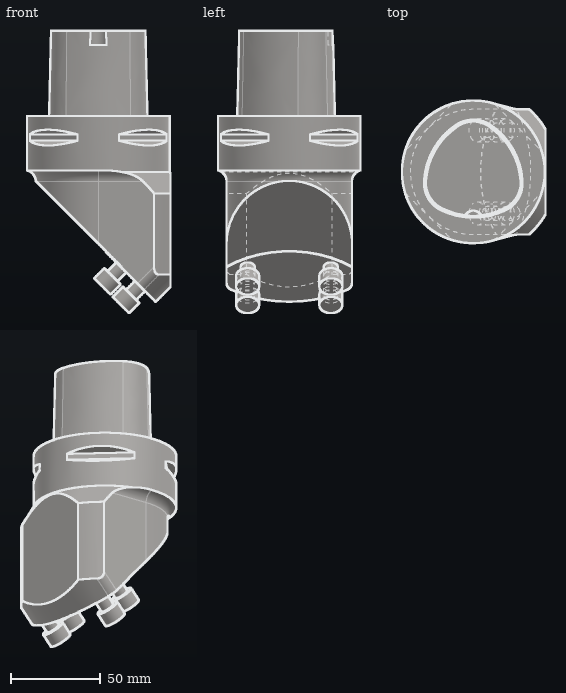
import cadquery as cq
import math

overall_height = 158.2


shank_taper = 1.1
side_radius = 41.0
side_reach = 25.6
lobe_reach = 29.3
notch_radius = 5.0
notch_center_y = -26.7
notch_depth = 8.2

flange_radius = 40.0
flange_height = 30.5
groove_floor_distance = 35.3
groove_floor_width = 3.5
groove_mouth_width = 8.9
groove_center_z = -12.2

body_half_width = 35.1
body_flat_x = 40.5
body_turned_radius = 47.0
body_bottom_z = -126.5
neck_top_radius = 39.9
neck_height = 6.2
neck_arc_radius = 6.3
cone_top_z = -31.3
cone_bottom_z = -43.3

slant_intercept = -71.5
end_distance = 96.3
end_arc_radius = 60.1
end_corner_radius = 6.0
shoulder_clearance = 15.8
envelope_depth = 158.2
seat_length = 39.9
seat_arc_radius = 56.0
seat_height = 0.3

screw_half_spacing = 23.3
screw_distances = (69.1, 83.8)
screw_shank_diameter = 8.0
screw_head_diameter = 13.0
screw_head_height = 8.0
screw_reach = 15.3
screw_embed = 4.7

lowest_z = slant_intercept / 2 - (max(screw_distances) + screw_reach + screw_head_diameter / 2) / math.sqrt(2)
shank_height = overall_height + lowest_z

slant_offset = slant_intercept / 2
slant_plane = cq.Plane(origin=(slant_offset, 0, slant_offset), xDir=(1, 0, -1), normal=(1, 0, 1))


def polar(radius, degrees):
    angle = math.radians(degrees)
    return (radius * math.cos(angle), radius * math.sin(angle))


def shank_outline(sketch, inset):
    """Rounded triangle of three side arcs tangent to three lobe arcs, with one lobe on +Y."""
    side_center = side_radius - side_reach
    reach_gap = side_radius - lobe_reach
    lobe_center = (side_center**2 - reach_gap**2) / (2 * reach_gap - side_center)
    center_x, center_y = polar(lobe_center, -30)
    side_half_angle = math.atan2(center_x, side_center - center_y)

    radius = side_radius - inset
    joint_x = radius * math.sin(side_half_angle)
    joint_y = side_center - radius * math.cos(side_half_angle)
    joint_radius = math.hypot(joint_x, joint_y)
    joint_angle = math.degrees(math.atan2(joint_y, joint_x))

    sketch = sketch.moveTo(-joint_x, joint_y)
    for turn in (0, 120, 240):
        side_end = polar(joint_radius, turn + joint_angle)
        lobe_end = polar(joint_radius, turn - 60 - joint_angle)
        sketch = sketch.threePointArc(polar(side_reach - inset, turn - 90), side_end)
        sketch = sketch.threePointArc(polar(lobe_reach - inset, turn - 30), lobe_end)
    return sketch.close()


def make_shank():
    base = shank_outline(cq.Workplane("XY"), 0)
    shank = shank_outline(base.workplane(offset=shank_height), shank_taper).loft(ruled=True)
    notch = (
        cq.Workplane("XY", origin=(0, notch_center_y, shank_height))
        .circle(notch_radius)
        .extrude(-notch_depth)
    )
    return shank.cut(notch)


def make_flange():
    flange = cq.Workplane("XY").circle(flange_radius).extrude(-flange_height)
    mouth_half = groove_mouth_width / 2
    floor_half = groove_floor_width / 2
    groove = (
        cq.Workplane("XZ")
        .moveTo(groove_floor_distance, groove_center_z - floor_half)
        .lineTo(flange_radius, groove_center_z - mouth_half)
        .lineTo(flange_radius, groove_center_z + mouth_half)
        .lineTo(groove_floor_distance, groove_center_z + floor_half)
        .close()
        .extrude(flange_radius, both=True)
    )
    for angle in (45, 135, 225, 315):
        flange = flange.cut(groove.rotate((0, 0, 0), (0, 0, 1), angle))
    return flange


def make_neck_profile(plane):
    """Half section from the axis to the body side, flaring to the flange rim."""
    neck_bottom_z = -flange_height - neck_height
    return (
        cq.Workplane(plane)
        .moveTo(0, -flange_height)
        .lineTo(neck_top_radius, -flange_height)
        .radiusArc((body_half_width, neck_bottom_z), -neck_arc_radius)
        .lineTo(body_half_width, body_bottom_z)
        .lineTo(0, body_bottom_z)
        .close()
    )


def make_end_envelope(depth):
    """Rounded lower end of the body, drawn on the slanted face and running square to it."""
    arc_center = end_distance - end_arc_radius
    corner_y = body_half_width - end_corner_radius
    center_gap = end_arc_radius - end_corner_radius
    corner_x = arc_center + math.sqrt(center_gap**2 - corner_y**2)
    touch_ratio = end_arc_radius / center_gap
    touch_x = arc_center + (corner_x - arc_center) * touch_ratio
    touch_y = corner_y * touch_ratio
    half_turn = (math.pi / 2 + math.atan2(corner_y, corner_x - arc_center)) / 2
    mid_x = corner_x + end_corner_radius * math.cos(half_turn)
    mid_y = corner_y + end_corner_radius * math.sin(half_turn)
    outline_top = -shoulder_clearance
    shoulder_x = corner_x - end_corner_radius
    return (
        cq.Workplane(slant_plane)
        .moveTo(outline_top, -flange_radius)
        .lineTo(shoulder_x, -flange_radius)
        .lineTo(shoulder_x, -body_half_width)
        .lineTo(corner_x, -body_half_width)
        .threePointArc((mid_x, -mid_y), (touch_x, -touch_y))
        .threePointArc((end_distance, 0), (touch_x, touch_y))
        .threePointArc((mid_x, mid_y), (corner_x, body_half_width))
        .lineTo(shoulder_x, body_half_width)
        .lineTo(shoulder_x, flange_radius)
        .lineTo(outline_top, flange_radius)
        .close()
        .extrude(depth)
    )


def make_body():
    body = make_neck_profile("XZ").revolve(360, (0, 0, 0), (0, 1, 0))
    wall = make_neck_profile("YZ").extrude(body_flat_x)
    body = body.union(wall).union(wall.mirror("XZ"))

    turned_limit = (
        cq.Workplane("XZ")
        .moveTo(0, -flange_height)
        .lineTo(flange_radius, -flange_height)
        .lineTo(flange_radius, cone_top_z)
        .lineTo(body_turned_radius, cone_bottom_z)
        .lineTo(body_turned_radius, body_bottom_z)
        .lineTo(0, body_bottom_z)
        .close()
        .revolve(360, (0, 0, 0), (0, 1, 0))
    )
    body = body.intersect(turned_limit)

    seat_arc_center = end_distance - seat_length + seat_arc_radius
    seat_disc = (
        cq.Workplane(slant_plane)
        .center(seat_arc_center, 0)
        .circle(seat_arc_radius)
        .extrude(-seat_height)
    )
    side_limit = cq.Workplane("XY").box(4 * flange_radius, 2 * body_half_width, 2 * envelope_depth)
    seat = make_end_envelope(-seat_height).intersect(seat_disc).intersect(side_limit)
    return body.intersect(make_end_envelope(envelope_depth)).union(seat)


def make_screw(distance, y):
    """Cap screw whose axis is square to the slanted face."""
    head = (
        cq.Workplane(slant_plane)
        .workplane(offset=-screw_reach)
        .center(distance, y)
        .circle(screw_head_diameter / 2)
        .extrude(screw_head_height)
    )
    shank = (
        cq.Workplane(slant_plane)
        .workplane(offset=-screw_reach)
        .center(distance, y)
        .circle(screw_shank_diameter / 2)
        .extrude(screw_reach + screw_embed)
    )
    return head.union(shank)


result = make_shank().union(make_flange()).union(make_body())
for distance in screw_distances:
    for y in (-screw_half_spacing, screw_half_spacing):
        result = result.union(make_screw(distance, y))